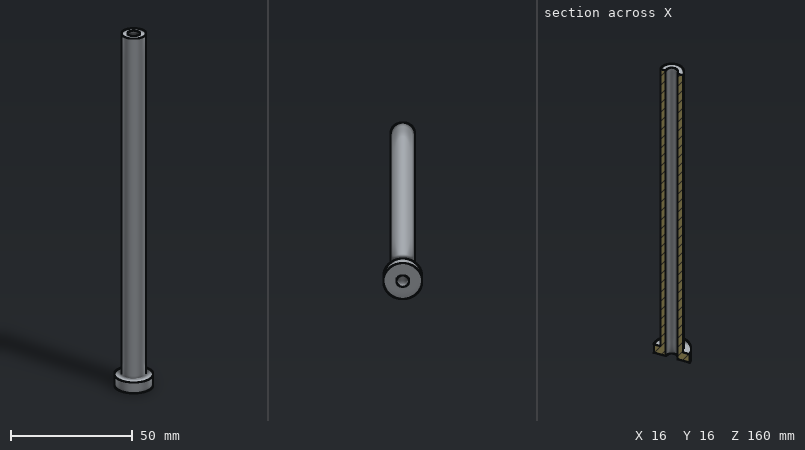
import cadquery as cq

total_length = 160.0
head_diameter = 16.0
head_height = 5.0
shaft_diameter = 10.0
bore_diameter = 5.1
root_fillet_radius = 0.5

head_radius = head_diameter / 2
shaft_radius = shaft_diameter / 2
bore_radius = bore_diameter / 2

half_section = (
    cq.Workplane("XZ")
    .moveTo(bore_radius, 0)
    .lineTo(head_radius, 0)
    .lineTo(head_radius, head_height)
    .lineTo(shaft_radius + root_fillet_radius, head_height)
    .radiusArc((shaft_radius, head_height + root_fillet_radius), root_fillet_radius)
    .lineTo(shaft_radius, total_length)
    .lineTo(bore_radius, total_length)
    .close()
)

result = half_section.revolve(360, (0, 0, 0), (0, 1, 0))